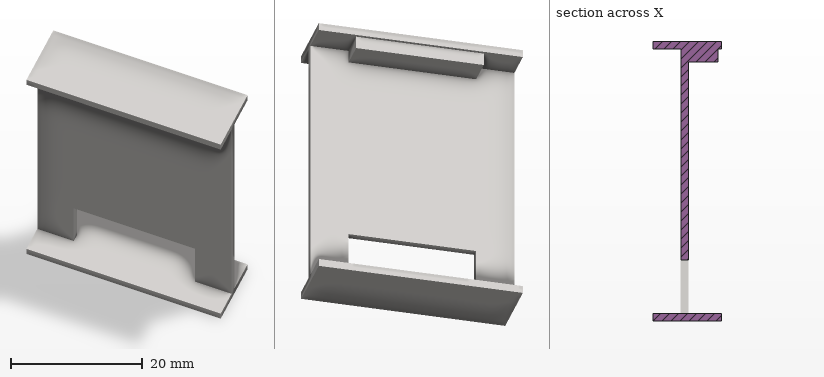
import cadquery as cq

length = 32.0
plate_thickness = 1.2
web_height = 40.0
front_overhang = 4.2
back_overhang = 5.0

window_width = 20.0
window_height = 8.0

rib_length = 20.0
rib_depth = 4.5
rib_height = 2.0

flange_depth = front_overhang + plate_thickness + back_overhang
front_y = -flange_depth / 2
web_front_y = front_y + front_overhang
web_back_y = web_front_y + plate_thickness
web_bottom_z = -web_height / 2
web_top_z = web_height / 2


def centred_block(x_size, y_start, y_size, z_start, z_size):
    """Box centred on X = 0, starting at the given Y and Z."""
    return cq.Workplane("XY").box(x_size, y_size, z_size, centered=(True, False, False)).translate(
        (0, y_start, z_start)
    )


def flange(z_start):
    return centred_block(length, front_y, flange_depth, z_start, plate_thickness)


def web():
    """Upright plate with a rectangular window resting on the bottom flange."""
    plate = centred_block(length, web_front_y, plate_thickness, web_bottom_z, web_height)
    window = centred_block(window_width, web_front_y, plate_thickness, web_bottom_z, window_height)
    return plate.cut(window)


def rib():
    """Block against the back of the web and the underside of the top flange."""
    return centred_block(rib_length, web_back_y, rib_depth, web_top_z - rib_height, rib_height)


bottom_flange = flange(web_bottom_z - plate_thickness)
top_flange = flange(web_top_z)

result = web().union(bottom_flange).union(top_flange).union(rib())